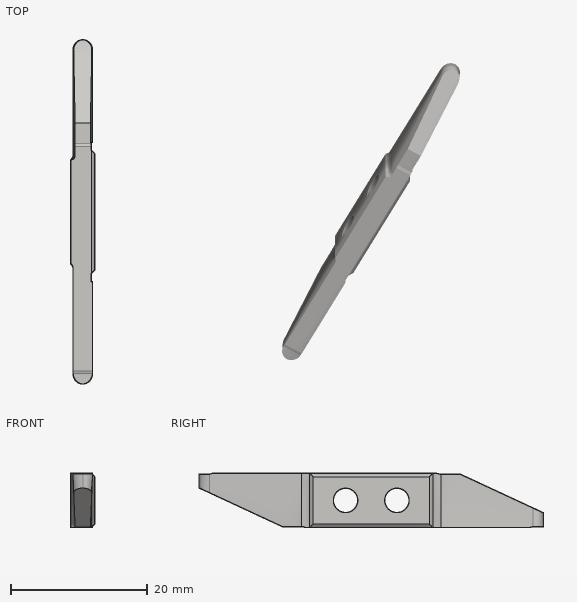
import cadquery as cq
import math

length = 50.5
height = 8.0
thickness = 3.6
half_length = length / 2
half_height = height / 2
half_thickness = thickness / 2

arm_wide_half = 1.44
arm_narrow_half = 1.1
tip_length = 1.5

tip_height = 2.15
slope_length = 12.2
relief_depth = 0.125
tip_relief_start = 1.55
tip_relief_end = 1.95
shoulder_start = 15.2
shoulder_end = 15.65

block_half_length = 10.2
block_right = 1.25
left_pad_half_length = 7.65
left_fillet_length = 0.65
right_pad_half_length = 9.05
right_pad_rise = half_thickness - block_right

hole_diameter = 3.55
hole_spacing = 7.5


def tip_arc_middle(half_width):
    """Middle of the +X tip arc, tangent to the arm side and ending on the centre line."""
    radius = (half_width**2 + tip_length**2) / (2 * half_width)
    half_angle = math.asin(tip_length / radius) / 2
    x = half_width - radius * (1 - math.cos(half_angle))
    y = half_length - tip_length + radius * math.sin(half_angle)
    return x, y


def fillet_arc_middle(half_width):
    """Middle of the concave arc from the left pad's edge, tangent to the arm side."""
    rise = half_thickness - half_width
    radius = (rise**2 + left_fillet_length**2) / (2 * rise)
    half_angle = math.asin(left_fillet_length / radius) / 2
    x = -half_width - radius * (1 - math.cos(half_angle))
    y = left_pad_half_length + left_fillet_length - radius * math.sin(half_angle)
    return x, y


def add_arm_outline(plane, half_width):
    """Plan outline of one arm section, from the middle of the bar to the tip."""
    side_end = half_length - tip_length
    mid_x, mid_y = tip_arc_middle(half_width)
    return (
        plane.moveTo(-half_width, 0)
        .lineTo(half_width, 0)
        .lineTo(half_width, side_end)
        .threePointArc((mid_x, mid_y), (0, half_length))
        .threePointArc((-mid_x, mid_y), (-half_width, side_end))
        .close()
    )


def add_left_pad_outline(plane, half_width):
    """Plan outline of the +Y half of the left pad at one arm section."""
    foot = left_pad_half_length + left_fillet_length
    return (
        plane.moveTo(0, 0)
        .lineTo(-half_thickness, 0)
        .lineTo(-half_thickness, left_pad_half_length)
        .threePointArc(fillet_arc_middle(half_width), (-half_width, foot))
        .lineTo(0, foot)
        .close()
    )


def make_drafted_pair(add_outline):
    """Loft an outline from wide (bottom) to narrow (top), plus its half turn about X."""
    plane = cq.Workplane("XY", origin=(0, 0, -half_height))
    bottom = add_outline(plane, arm_wide_half)
    top = add_outline(bottom.workplane(offset=height, origin=(0, 0, -half_height)), arm_narrow_half)
    half = top.loft(ruled=True)
    return half.union(half.rotate((0, 0, 0), (1, 0, 0), 180))


def make_side_profile():
    """Prism along X with the bar's side outline, the same after a half turn about X."""
    low = -half_height
    high = half_height
    half_outline = [
        (half_length - tip_relief_end, low),
        (half_length - tip_relief_start, low + relief_depth),
        (half_length, low + relief_depth),
        (half_length, low + tip_height),
        (half_length - slope_length, high - relief_depth),
        (half_length - shoulder_start, high - relief_depth),
        (half_length - shoulder_end, high),
    ]
    other_half = [(-y, -z) for y, z in half_outline]
    return (
        cq.Workplane("YZ", origin=(-half_thickness, 0, 0))
        .polyline(half_outline + other_half)
        .close()
        .extrude(thickness)
    )


def make_block():
    """Plain middle block between the two pads."""
    width = block_right + arm_narrow_half
    return cq.Workplane("XY").box(width, 2 * block_half_length, height).translate(
        ((block_right - arm_narrow_half) / 2, 0, 0)
    )


def make_right_pad():
    """Pad on the +X side with its four outer edges chamfered over the full rise."""
    return (
        cq.Workplane("XY")
        .box(half_thickness, 2 * right_pad_half_length, height)
        .translate((half_thickness / 2, 0, 0))
        .faces(">X")
        .chamfer(right_pad_rise)
    )


arms = make_drafted_pair(add_arm_outline)
left_pad = make_drafted_pair(add_left_pad_outline)

right_clearance = (
    cq.Workplane("XY")
    .box(right_pad_rise, 2 * block_half_length, height)
    .translate((block_right + right_pad_rise / 2, 0, 0))
)
body = arms.cut(right_clearance)
body = body.union(make_block()).union(left_pad).union(make_right_pad())
body = body.intersect(make_side_profile())

holes = (
    cq.Workplane("YZ", origin=(-half_thickness, 0, 0))
    .rarray(hole_spacing, 0.5, 2, 1)
    .circle(hole_diameter / 2)
    .extrude(thickness)
)
result = body.cut(holes)